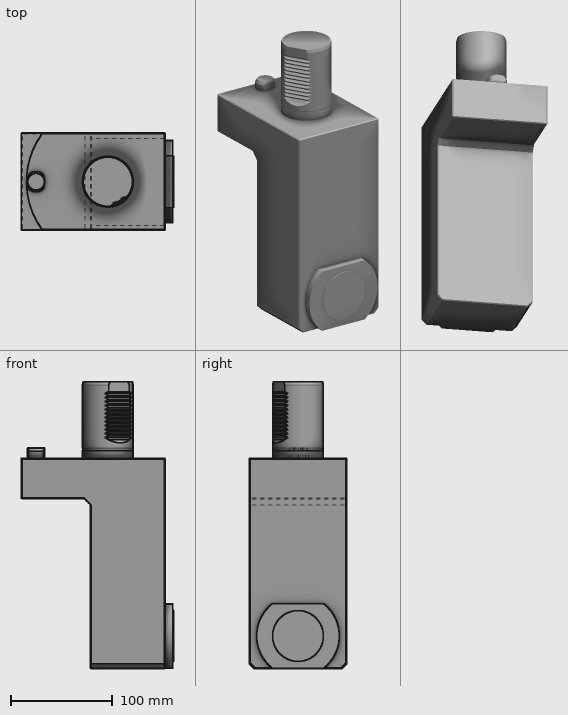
import cadquery as cq
import math


overall_height = 282.0
body_width = 96.0
body_top = 207.0
body_left = -85.2
body_right = 56.5
leg_left = -17.2
arm_underside = 167.0
arm_corner_bevel = 5.5
foot_bevel = 5.0
edge_bevel = 1.0

seat_diameter = 160.0
seat_step = 0.42

shank_diameter = 50.0
shank_tip_height = 3.0
shank_tip_inset = 0.8
relief_diameter = 49.5
relief_bottom = body_top + 7.0
relief_top = body_top + 9.3
relief_taper_height = 0.8

flat_angle = -60.0
flat_distance = 22.0
tooth_count = 12
tooth_pitch = 4.0
tooth_depth = 1.83
first_valley_z = 270.5

pin_x = -70.5
pin_diameter = 20.0
pin_height = 10.5
pin_half_length = 8.7
pin_side_x = 7.2
pin_tip_inset = 1.83
pin_tip_height = 3.25

pad_diameter = 81.2
pad_height = 63.2
pad_thickness = 7.5
pad_center_z = 32.1
disc_diameter = 50.0
disc_thickness = 0.8

overlap = 1.5


def face_near(body, x, z):
    """Face of the body whose centre is nearest to the given point on its middle plane."""
    return body.faces(cq.selectors.NearestToPointSelector((x, 0, z)))


def make_body():
    outline = [
        (body_left, body_top),
        (body_right, body_top),
        (body_right, 0),
        (leg_left, 0),
        (leg_left, arm_underside - arm_corner_bevel),
        (leg_left - arm_corner_bevel, arm_underside),
        (body_left, arm_underside),
    ]
    body = cq.Workplane("XZ").polyline(outline).close().extrude(body_width / 2, both=True)
    body = body.edges("|X and <Z").chamfer(foot_bevel)

    end_edges = body.faces("<X or >X").edges("not (<X and >Z)")
    top_edges = body.faces(">Z").edges("not <X")
    leg_edges = face_near(body, leg_left, arm_underside / 2).edges("not >Z")
    arm_edges = face_near(body, (body_left + leg_left) / 2, arm_underside).edges("|X")
    return end_edges.add(top_edges).add(leg_edges).add(arm_edges).chamfer(edge_bevel)


def lower_top_outside_seat(body):
    cover = 2 * overall_height
    layer = (
        cq.Workplane("XY", origin=(0, 0, body_top - seat_step))
        .rect(cover, cover)
        .circle(seat_diameter / 2)
        .extrude(overlap)
    )
    return body.cut(layer)


def make_shank():
    radius = shank_diameter / 2
    relief_radius = relief_diameter / 2
    profile = [
        (0, body_top - overlap),
        (radius, body_top - overlap),
        (radius, relief_bottom),
        (relief_radius, relief_bottom),
        (relief_radius, relief_top),
        (radius, relief_top + relief_taper_height),
        (radius, overall_height - shank_tip_height),
        (radius - shank_tip_inset, overall_height),
        (0, overall_height),
    ]
    return cq.Workplane("XZ").polyline(profile).close().revolve(360, (0, 0, 0), (0, 1, 0))


def make_clamping_flat_cutter():
    """Flat with 90 degree teeth; below the last one a 45 degree slope runs out to the surface."""
    valley_distance = flat_distance - tooth_depth
    clear_distance = shank_diameter / 2 + overlap
    profile = [
        (clear_distance, overall_height + overlap),
        (flat_distance, overall_height + overlap),
    ]
    for tooth in range(tooth_count):
        valley_z = first_valley_z - tooth * tooth_pitch
        profile.append((flat_distance, valley_z + tooth_depth))
        profile.append((valley_distance, valley_z))
        profile.append((flat_distance, valley_z - tooth_depth))
    runout_start_z = first_valley_z - tooth_count * tooth_pitch + tooth_depth
    runout_rise = clear_distance - flat_distance
    profile.append((flat_distance, runout_start_z))
    profile.append((clear_distance, runout_start_z - runout_rise))
    cutter = cq.Workplane("XZ").polyline(profile).close().extrude(shank_diameter / 2, both=True)
    return cutter.rotate((0, 0, 0), (0, 0, 1), flat_angle)


def make_pin():
    """Round pin, tapered at the tip, with two shallow V faces on each X side."""
    radius = pin_diameter / 2
    height = pin_height + overlap
    side_y = math.sqrt(radius**2 - pin_side_x**2)
    side_slope = (pin_half_length - pin_side_x) / side_y
    roof_y = pin_half_length / side_slope
    diamond = (
        cq.Workplane("XY")
        .polyline([(pin_half_length, 0), (0, roof_y), (-pin_half_length, 0), (0, -roof_y)])
        .close()
        .extrude(height)
    )
    pin = (
        cq.Workplane("XY")
        .circle(radius)
        .extrude(height)
        .faces(">Z")
        .chamfer(pin_tip_height, pin_tip_inset)
        .intersect(diamond)
    )
    return pin.translate((pin_x, 0, body_top - seat_step - overlap))


def make_pad():
    pad_plane = cq.Workplane("YZ", origin=(body_right - overlap, 0, pad_center_z))
    pad = pad_plane.circle(pad_diameter / 2).extrude(pad_thickness + overlap)
    flats = pad_plane.rect(pad_diameter, pad_height).extrude(pad_thickness + overlap)
    disc = pad_plane.circle(disc_diameter / 2).extrude(pad_thickness + disc_thickness + overlap)
    return pad.intersect(flats).union(disc)


body = lower_top_outside_seat(make_body())
shank = make_shank().cut(make_clamping_flat_cutter())
result = body.union(shank).union(make_pin()).union(make_pad())